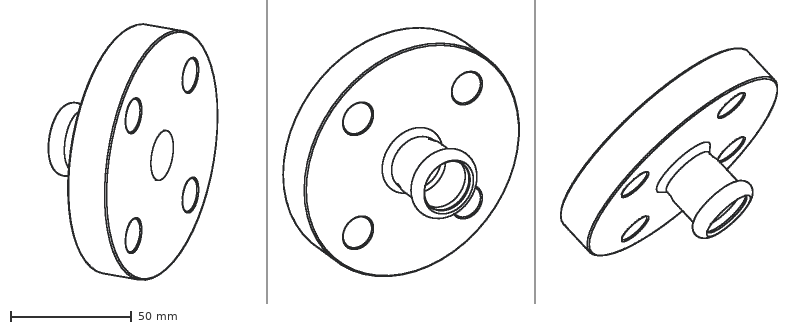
import cadquery as cq

total_length = 46.5
flange_thickness = 18.0
flange_front = total_length - flange_thickness
bead_width = 7.5
socket_taper_start = 20.9
neck_start = 23.1
collar_start = 25.7

flange_diameter = 105.0
bead_diameter = 30.9
socket_diameter = 25.2
neck_diameter = 23.9
collar_diameter = neck_diameter + 2 * (flange_front - collar_start)
flange_chamfer = 0.6

mouth_diameter = 24.2
lip_diameter = 22.3
socket_bore_diameter = 22.9
through_bore_diameter = 21.0
groove_diameter = 22.9
lip_start = 1.2
groove_start = 2.0
groove_end = 4.9
groove_middle = (groove_start + groove_end) / 2
land_end = 6.1
socket_bore_start = 7.9
socket_bore_end = socket_taper_start
through_bore_start = neck_start

bolt_hole_diameter = 14.0
bolt_spacing = 53.1
bolt_hole_chamfer = 0.5


def make_outer_body():
    """Revolve the outer outline, with a round bead at the mouth and a 45 degree collar."""
    flange_radius = flange_diameter / 2
    outline = (
        cq.Workplane("XY")
        .moveTo(0, 0)
        .lineTo(0, mouth_diameter / 2)
        .threePointArc((bead_width / 2, bead_diameter / 2), (bead_width, socket_diameter / 2))
        .lineTo(socket_taper_start, socket_diameter / 2)
        .lineTo(neck_start, neck_diameter / 2)
        .lineTo(collar_start, neck_diameter / 2)
        .lineTo(flange_front, collar_diameter / 2)
        .lineTo(flange_front, flange_radius - flange_chamfer)
        .lineTo(flange_front + flange_chamfer, flange_radius)
        .lineTo(total_length - flange_chamfer, flange_radius)
        .lineTo(total_length, flange_radius - flange_chamfer)
        .lineTo(total_length, 0)
        .close()
    )
    return outline.revolve(360, (0, 0, 0), (1, 0, 0))


def make_bore():
    """Revolve the stepped bore: tapered mouth, grooved lip, socket and through bore."""
    outline = (
        cq.Workplane("XY")
        .moveTo(0, 0)
        .lineTo(0, mouth_diameter / 2)
        .lineTo(lip_start, lip_diameter / 2)
        .lineTo(groove_start, lip_diameter / 2)
        .threePointArc((groove_middle, groove_diameter / 2), (groove_end, lip_diameter / 2))
        .lineTo(land_end, lip_diameter / 2)
        .lineTo(socket_bore_start, socket_bore_diameter / 2)
        .lineTo(socket_bore_end, socket_bore_diameter / 2)
        .lineTo(through_bore_start, through_bore_diameter / 2)
        .lineTo(total_length, through_bore_diameter / 2)
        .lineTo(total_length, 0)
        .close()
    )
    return outline.revolve(360, (0, 0, 0), (1, 0, 0))


def make_bolt_holes():
    """Four through holes, each chamfered at both flange faces."""
    hole_radius = bolt_hole_diameter / 2
    rim_radius = hole_radius + bolt_hole_chamfer
    hole = (
        cq.Workplane("XY")
        .moveTo(flange_front, 0)
        .lineTo(flange_front, rim_radius)
        .lineTo(flange_front + bolt_hole_chamfer, hole_radius)
        .lineTo(total_length - bolt_hole_chamfer, hole_radius)
        .lineTo(total_length, rim_radius)
        .lineTo(total_length, 0)
        .close()
        .revolve(360, (0, 0, 0), (1, 0, 0))
    )
    holes = cq.Workplane("XY")
    for y_side in (-1, 1):
        for z_side in (-1, 1):
            offset = (0, y_side * bolt_spacing / 2, z_side * bolt_spacing / 2)
            holes = holes.add(hole.translate(offset))
    return holes.combine()


result = make_outer_body().cut(make_bore()).cut(make_bolt_holes())